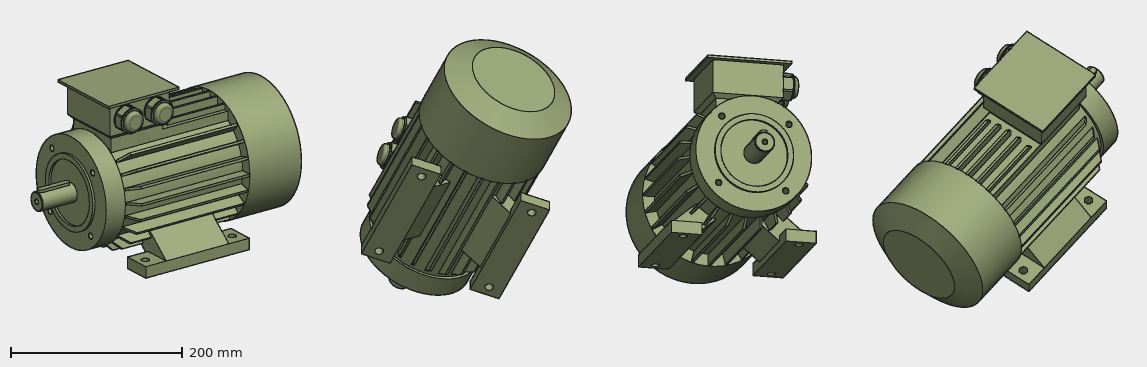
import cadquery as cq
import math


BODY_R = 133.0 / 2
COVER_R = 162.0 / 2
COVER_REAR_R = 52.5
COVER_FRONT_Y = 199.0
COVER_TAPER_Y = 273.5
COVER_REAR_Y = 290.0

FLANGE_R = 140.0 / 2
FLANGE_LENGTH = 27.5
SPIGOT_R = 95.0 / 2
SPIGOT_HEIGHT = 3.0
RECESS_R = 81.0 / 2
BOLT_HOLE_D = 6.8
BOLT_HOLE_DEPTH = 17.0
BOLT_CIRCLE_R = 57.5
BOLT_ANGLE = 42.2
SHAFT_D = 24.0
SHAFT_LENGTH = 50.0
SHAFT_CHAMFER = 1.0
CENTRE_HOLE_D = 5.8
CENTRE_HOLE_DEPTH = 13.5
HOLE_CHAMFER = 0.5
DRILL_TIP_ANGLE = 118
KEY_WIDTH = 7.8
KEY_TOP_Z = 15.0
KEY_END_GAP = 2.0

FIN_R = 80.0
FIN_WIDTH = 3.0
FIN_ROOT_DEPTH = 3.5
FIN_STEP_ANGLE = 15
FIN_FIRST_ANGLE = -225
FIN_LAST_ANGLE = 45
FIN_FRONT_Y = 31.5
FIN_TAPER_LENGTH = 13.0

SADDLE_WIDTH = 74.8
SADDLE_TOP_Z = 67.0
SADDLE_FRONT_Y = 30.5
TOP_FIN_PITCH = 15.0
TOP_FINS_PER_SIDE = 2
TOP_FIN_FRONT_Y = 115.5
TOP_FIN_CHAMFER = 5.0

BOX_CENTRE_Y = 68.0
BOX_SIZE = 85.5
BOX_TAPER_HEIGHT = 5.0
NECK_TOP_Z = 73.0
LID_SIZE = 101.3
LID_THICKNESS = 3.0
LID_TOP_Z = 121.0

GLAND_SPACING = 43.2
GLAND_Z = 98.0
GLAND_NUT_D = 33.0
GLAND_NUT_FLATS = 29.5
GLAND_COLLAR_D = 31.0
GLAND_CAP_D = 26.2
GLAND_SEAT_LENGTH = 1.7
GLAND_NUT_LENGTH = 12.0
GLAND_COLLAR_LENGTH = 1.7
GLAND_CAP_LENGTH = 6.5
GLAND_CAP_ROUND = 4.5

FOOT_BOTTOM_Z = -90.0
FOOT_THICKNESS = 14.5
FOOT_OUTER_X = 175.0 / 2
FOOT_WIDTH = 36.7
FOOT_FRONT_Y = 44.2
FOOT_LENGTH = 149.3
FOOT_HOLE_D = 10.0
FOOT_HOLE_X = 70.0
FOOT_HOLE_SPACING = 125.0
LEG_LENGTH = 90.0
LEG_ANGLE = 39.7
LEG_REACH = 51.0
LEG_LOW_Z = -82.0


def cylinder_y(radius, start_y, end_y):
    """Cylinder on the motor axis between two Y positions."""
    return cq.Workplane("XZ", origin=(0, start_y, 0)).circle(radius).extrude(start_y - end_y)


def box_between(x_range, y_range, z_range):
    """Box given by its limits on each axis."""
    sizes = [high - low for low, high in (x_range, y_range, z_range)]
    corner = (x_range[0], y_range[0], z_range[0])
    return cq.Workplane("XY").box(*sizes, centered=False).translate(corner)


def drilled_hole(x, z, start_y, diameter, depth):
    """Cutter for a blind hole along +Y with a chamfered mouth and a drill-point bottom."""
    radius = diameter / 2
    mouth_r = radius + HOLE_CHAMFER
    tip_length = radius / math.tan(math.radians(DRILL_TIP_ANGLE / 2))
    return (
        cq.Workplane("XY")
        .lineTo(mouth_r, 0)
        .lineTo(radius, HOLE_CHAMFER)
        .lineTo(radius, depth)
        .lineTo(0, depth + tip_length)
        .close()
        .revolve(360, (0, 0, 0), (0, 1, 0))
        .translate((x, start_y, z))
    )


def make_housing():
    """Body cylinder and the fan cover with its conical rear end."""
    cover = (
        cq.Workplane("XY")
        .moveTo(0, COVER_FRONT_Y)
        .lineTo(COVER_R, COVER_FRONT_Y)
        .lineTo(COVER_R, COVER_TAPER_Y)
        .lineTo(COVER_REAR_R, COVER_REAR_Y)
        .lineTo(0, COVER_REAR_Y)
        .close()
        .revolve(360, (0, 0, 0), (0, 1, 0))
    )
    return cylinder_y(BODY_R, 0, COVER_FRONT_Y).union(cover)


def make_flange():
    """Mounting flange with recessed spigot."""
    flange = cylinder_y(FLANGE_R, 0, FLANGE_LENGTH)
    spigot = cylinder_y(SPIGOT_R, -SPIGOT_HEIGHT, 0)
    recess = cylinder_y(RECESS_R, -SPIGOT_HEIGHT, 0)
    return flange.union(spigot.cut(recess))


def make_bolt_holes():
    """Four blind holes entering the flange from its front face."""
    holes = cq.Workplane("XY")
    for quarter in range(4):
        angle = math.radians(BOLT_ANGLE + quarter * 90)
        x = BOLT_CIRCLE_R * math.cos(angle)
        z = BOLT_CIRCLE_R * math.sin(angle)
        holes = holes.union(drilled_hole(x, z, 0, BOLT_HOLE_D, BOLT_HOLE_DEPTH))
    return holes


def make_shaft():
    """Shaft with chamfered end, centre hole and round-ended key."""
    shaft = cylinder_y(SHAFT_D / 2, -SHAFT_LENGTH, 0).faces("<Y").chamfer(SHAFT_CHAMFER)
    shaft = shaft.cut(drilled_hole(0, 0, -SHAFT_LENGTH, CENTRE_HOLE_D, CENTRE_HOLE_DEPTH))
    key_front_y = KEY_END_GAP - SHAFT_LENGTH
    key_rear_y = -SPIGOT_HEIGHT
    key = (
        cq.Workplane("XY", origin=(0, (key_front_y + key_rear_y) / 2, SHAFT_D / 4))
        .slot2D(key_rear_y - key_front_y, KEY_WIDTH, 90)
        .extrude(KEY_TOP_Z - SHAFT_D / 4)
    )
    return shaft.union(key)


def make_radial_fins():
    """Radial fins around the sides and bottom, tapered at the flange end."""
    fin = (
        cq.Workplane("XY")
        .moveTo(BODY_R - FIN_ROOT_DEPTH, FIN_FRONT_Y)
        .lineTo(BODY_R, FIN_FRONT_Y)
        .lineTo(FIN_R, FIN_FRONT_Y + FIN_TAPER_LENGTH)
        .lineTo(FIN_R, COVER_FRONT_Y)
        .lineTo(BODY_R - FIN_ROOT_DEPTH, COVER_FRONT_Y)
        .close()
        .extrude(FIN_WIDTH / 2, both=True)
    )
    fins = cq.Workplane("XY")
    for angle in range(FIN_FIRST_ANGLE, FIN_LAST_ANGLE + 1, FIN_STEP_ANGLE):
        fins = fins.union(fin.rotate((0, 0, 0), (0, 1, 0), -angle))
    return fins


def make_saddle():
    """Flat-topped saddle with upright fins behind the terminal box."""
    half_width = SADDLE_WIDTH / 2
    saddle = box_between(
        (-half_width, half_width), (SADDLE_FRONT_Y, COVER_FRONT_Y), (0, SADDLE_TOP_Z)
    )
    for index in range(-TOP_FINS_PER_SIDE, TOP_FINS_PER_SIDE + 1):
        x = index * TOP_FIN_PITCH
        top_z = math.sqrt(FIN_R**2 - x**2)
        fin = box_between(
            (x - FIN_WIDTH / 2, x + FIN_WIDTH / 2),
            (TOP_FIN_FRONT_Y, COVER_FRONT_Y),
            (0, top_z),
        )
        saddle = saddle.union(fin.edges("<Y and >Z").chamfer(TOP_FIN_CHAMFER))
    return saddle


def make_terminal_box():
    """Neck, box tapered at its bottom edge, and overhanging lid."""
    neck_length = 2 * (BOX_CENTRE_Y - SADDLE_FRONT_Y)
    lid_bottom_z = LID_TOP_Z - LID_THICKNESS
    neck = (
        cq.Workplane("XY", origin=(0, BOX_CENTRE_Y, 0))
        .rect(SADDLE_WIDTH, neck_length)
        .extrude(NECK_TOP_Z)
    )
    body = (
        cq.Workplane("XY", origin=(0, BOX_CENTRE_Y, NECK_TOP_Z))
        .rect(BOX_SIZE, BOX_SIZE)
        .extrude(lid_bottom_z - NECK_TOP_Z)
        .faces("<Z")
        .chamfer(BOX_TAPER_HEIGHT)
    )
    lid = (
        cq.Workplane("XY", origin=(0, BOX_CENTRE_Y, lid_bottom_z))
        .rect(LID_SIZE, LID_SIZE)
        .extrude(LID_THICKNESS)
    )
    return neck.union(body).union(lid)


def make_gland(y):
    """Cable gland: round seat, hexagon nut with rounded corners, collar and rounded cap."""
    seat_x = BOX_SIZE / 2
    nut_x = seat_x + GLAND_SEAT_LENGTH
    collar_x = nut_x + GLAND_NUT_LENGTH
    cap_x = collar_x + GLAND_COLLAR_LENGTH

    def disc(start_x, diameter, length):
        plane = cq.Workplane("YZ", origin=(start_x, y, GLAND_Z))
        return plane.circle(diameter / 2).extrude(length)

    hexagon = (
        cq.Workplane("YZ", origin=(nut_x, y, GLAND_Z))
        .transformed(rotate=(0, 0, 90))
        .polygon(6, GLAND_NUT_FLATS / math.cos(math.pi / 6))
        .extrude(GLAND_NUT_LENGTH)
    )
    nut = hexagon.intersect(disc(nut_x, GLAND_NUT_D, GLAND_NUT_LENGTH))
    seat = disc(seat_x, GLAND_COLLAR_D, GLAND_SEAT_LENGTH)
    collar = disc(collar_x, GLAND_COLLAR_D, GLAND_COLLAR_LENGTH)
    cap = disc(cap_x, GLAND_CAP_D, GLAND_CAP_LENGTH).faces(">X").edges().fillet(GLAND_CAP_ROUND)
    return seat.union(nut).union(collar).union(cap)


def make_foot():
    """Foot on the +X side: drilled pad and sloping leg up to the housing."""
    pad_top_z = FOOT_BOTTOM_Z + FOOT_THICKNESS
    inner_x = FOOT_OUTER_X - FOOT_WIDTH
    centre_y = FOOT_FRONT_Y + FOOT_LENGTH / 2
    pad = box_between(
        (inner_x, FOOT_OUTER_X),
        (FOOT_FRONT_Y, FOOT_FRONT_Y + FOOT_LENGTH),
        (FOOT_BOTTOM_Z, pad_top_z),
    )
    rise = LEG_REACH * math.tan(math.radians(LEG_ANGLE))
    leg = (
        cq.Workplane("XZ", origin=(0, centre_y, 0))
        .moveTo(FOOT_OUTER_X, pad_top_z)
        .lineTo(FOOT_OUTER_X - LEG_REACH, pad_top_z + rise)
        .lineTo(inner_x - LEG_REACH, LEG_LOW_Z + rise)
        .lineTo(inner_x, LEG_LOW_Z)
        .lineTo(inner_x, pad_top_z)
        .close()
        .extrude(LEG_LENGTH / 2, both=True)
    )
    half_spacing = FOOT_HOLE_SPACING / 2
    holes = (
        cq.Workplane("XY", origin=(FOOT_HOLE_X, centre_y, FOOT_BOTTOM_Z))
        .pushPoints([(0, -half_spacing), (0, half_spacing)])
        .circle(FOOT_HOLE_D / 2)
        .extrude(FOOT_THICKNESS)
    )
    return pad.union(leg).cut(holes)


foot = make_foot()
result = (
    make_housing()
    .union(make_flange())
    .union(make_radial_fins())
    .union(make_saddle())
    .union(make_terminal_box())
    .union(make_gland(BOX_CENTRE_Y - GLAND_SPACING / 2))
    .union(make_gland(BOX_CENTRE_Y + GLAND_SPACING / 2))
    .union(foot)
    .union(foot.mirror("YZ"))
    .cut(make_bolt_holes())
    .union(make_shaft())
)